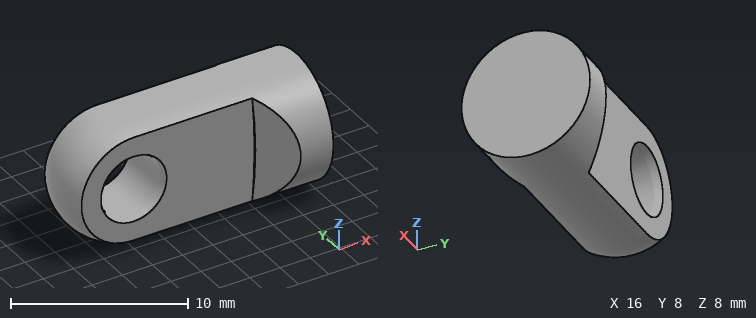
import cadquery as cq
import math

length = 16.0
diameter = 8.0
radius = diameter / 2
tongue_thickness = 4.0
hole_diameter = 4.1
hole_rim_diameter = 4.35
rim_depth = 0.5
shoulder_start = 11.84
flat_end_radius = 44.0

half_tongue = tongue_thickness / 2
shoulder_rise = radius - half_tongue
flat_half_height = math.sqrt(radius**2 - half_tongue**2)
flat_end_bulge = flat_end_radius - math.sqrt(flat_end_radius**2 - flat_half_height**2)


def make_rod():
    """Round bar with a hemispherical nose; the eye is at the nose centre."""
    nose_mid = radius * math.sqrt(0.5)
    return (
        cq.Workplane("XY")
        .moveTo(0, 0)
        .threePointArc((radius - nose_mid, nose_mid), (radius, radius))
        .lineTo(length, radius)
        .lineTo(length, 0)
        .close()
        .revolve(360, (0, 0, 0), (1, 0, 0))
    )


def make_side_cut(side):
    """Material beside the tongue, ending in a 45 degree shoulder."""
    return (
        cq.Workplane("XY")
        .workplane(offset=-radius)
        .moveTo(0, side * half_tongue)
        .lineTo(shoulder_start, side * half_tongue)
        .lineTo(shoulder_start + shoulder_rise, side * radius)
        .lineTo(0, side * radius)
        .close()
        .extrude(diameter)
    )


def make_flat_end_cut(side):
    """Shallow arc-ended pocket that carries the flat a little way under the shoulder."""
    return (
        cq.Workplane("XZ")
        .workplane(offset=-side * half_tongue)
        .moveTo(shoulder_start, -flat_half_height)
        .threePointArc((shoulder_start + flat_end_bulge, 0), (shoulder_start, flat_half_height))
        .close()
        .extrude(-side * shoulder_rise)
    )


def make_eye():
    """Cross hole through the tongue with a steep tapered lead-in at both rims."""
    rim_radius = hole_rim_diameter / 2
    hole_radius = hole_diameter / 2
    return (
        cq.Workplane("XY")
        .moveTo(0, -half_tongue)
        .lineTo(rim_radius, -half_tongue)
        .lineTo(hole_radius, rim_depth - half_tongue)
        .lineTo(hole_radius, half_tongue - rim_depth)
        .lineTo(rim_radius, half_tongue)
        .lineTo(0, half_tongue)
        .close()
        .revolve(360, (0, 0, 0), (0, 1, 0))
        .translate((radius, 0, 0))
    )


result = make_rod()
for side in (-1, 1):
    result = result.cut(make_side_cut(side)).cut(make_flat_end_cut(side))
result = result.cut(make_eye())